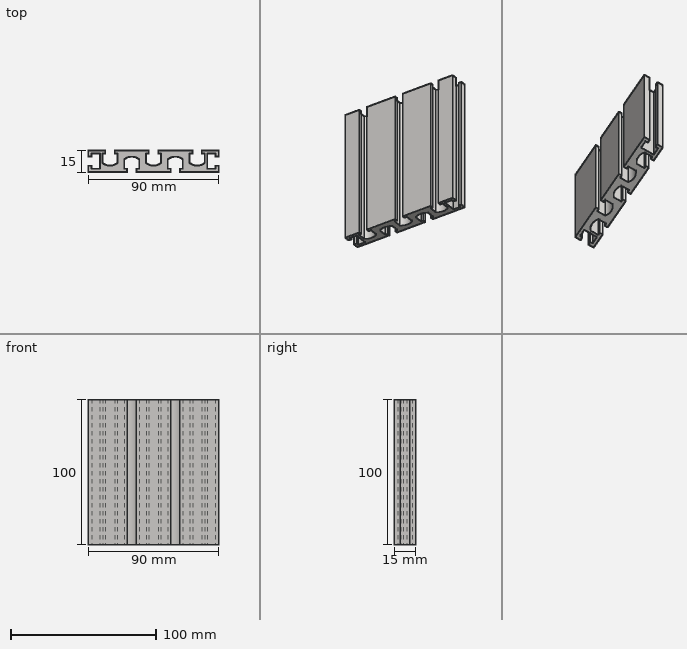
import cadquery as cq

width = 90.0
thickness = 15.0
length = 100.0

slot_pitch = 30.0
lip = 2.4
opening = 6.3
cavity_width = 10.2

arch_start_depth = 8.7
arch_crown_depth = 10.5

edge_slot_depth = 8.0

back_slot_centers = [-slot_pitch, 0.0, slot_pitch]
front_slot_centers = [-slot_pitch / 2, slot_pitch / 2]


def slot_mouth():
    """Outline from the opening to the cavity's right wall; the outer face is y = 0, depth is -y."""
    return (
        cq.Workplane("XY")
        .moveTo(-opening / 2, 0)
        .lineTo(opening / 2, 0)
        .lineTo(opening / 2, -lip)
        .lineTo(cavity_width / 2, -lip)
    )


def close_slot(outline):
    """Finish an outline from the cavity's left wall and extrude it along the part."""
    return (
        outline
        .lineTo(-cavity_width / 2, -lip)
        .lineTo(-opening / 2, -lip)
        .close()
        .extrude(length)
    )


def arched_slot():
    outline = (
        slot_mouth()
        .lineTo(cavity_width / 2, -arch_start_depth)
        .threePointArc((0, -arch_crown_depth), (-cavity_width / 2, -arch_start_depth))
    )
    return close_slot(outline)


def square_slot():
    outline = (
        slot_mouth()
        .lineTo(cavity_width / 2, -edge_slot_depth)
        .lineTo(-cavity_width / 2, -edge_slot_depth)
    )
    return close_slot(outline)


def turned(slot, angle):
    """Rotate a slot about the extrusion axis."""
    return slot.rotate((0, 0, 0), (0, 0, 1), angle)


result = cq.Workplane("XY").box(width, thickness, length, centered=(True, True, False))

for x in back_slot_centers:
    result = result.cut(arched_slot().translate((x, thickness / 2, 0)))

for x in front_slot_centers:
    result = result.cut(turned(arched_slot(), 180).translate((x, -thickness / 2, 0)))

result = result.cut(turned(square_slot(), 90).translate((-width / 2, 0, 0)))
result = result.cut(turned(square_slot(), -90).translate((width / 2, 0, 0)))